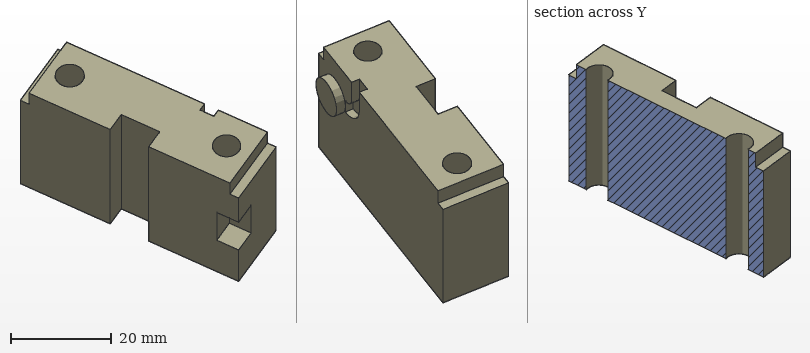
import cadquery as cq
import math

LENGTH = 50.0
DEPTH = 15.0
HEIGHT = 30.0

STEP_LENGTH = 2.0
STEP_HEIGHT = 3.5

CHANNEL_WIDTH = 8.8
CHANNEL_DEPTH = CHANNEL_WIDTH / 2
CHANNEL_START_X = 20.6

POCKET_LENGTH = 5.0
POCKET_DEPTH = 5.0
POCKET_HEIGHT = 8.8
POCKET_BOTTOM_Z = 10.0

HOLE_Y = 7.9
LEFT_HOLE_X = 6.8
LEFT_HOLE_DIAMETER = 5.78
RIGHT_HOLE_X = 42.7
RIGHT_HOLE_DIAMETER = 5.6

BOSS_DIAMETER = 8.32
BOSS_HEIGHT = 2.0
BOSS_X = 43.4
BOSS_Z = 20.95

GROOVE_WIDTH = 3.15
GROOVE_DEPTH = 1.8
GROOVE_LEFT_X = 33.59
BEND_INNER_RADIUS = 2.5
BEND_OUTER_RADIUS = BEND_INNER_RADIUS + GROOVE_WIDTH
BEND_CENTER_X = GROOVE_LEFT_X + BEND_OUTER_RADIUS
BEND_CENTER_Z = BOSS_Z + BEND_INNER_RADIUS + GROOVE_WIDTH / 2


def corner_box(x, y, z, length, depth, height):
    """Box with its lowest corner at (x, y, z)."""
    return cq.Workplane("XY").box(length, depth, height, centered=False).translate((x, y, z))


def z_hole(x, y, diameter):
    """Cutter for a round hole through the full height."""
    return cq.Workplane("XY").center(x, y).circle(diameter / 2).extrude(HEIGHT)


def end_step(x):
    """Cutter for one step along a top end edge."""
    return corner_box(x, 0, HEIGHT - STEP_HEIGHT, STEP_LENGTH, DEPTH, STEP_HEIGHT)


def back_boss():
    """Round boss standing on the back face along +Y."""
    back_face = cq.Workplane("XZ", origin=(BOSS_X, DEPTH, BOSS_Z))
    return back_face.circle(BOSS_DIAMETER / 2).extrude(-BOSS_HEIGHT)


def back_groove():
    """Cutter for the bent groove, drawn on the back face and extruded toward -Y into the block."""
    inner_x = BEND_CENTER_X - BEND_INNER_RADIUS
    inner_z = BEND_CENTER_Z - BEND_INNER_RADIUS
    outer_z = BEND_CENTER_Z - BEND_OUTER_RADIUS
    diagonal = math.sqrt(0.5)
    outer_middle = (
        BEND_CENTER_X - BEND_OUTER_RADIUS * diagonal,
        BEND_CENTER_Z - BEND_OUTER_RADIUS * diagonal,
    )
    inner_middle = (
        BEND_CENTER_X - BEND_INNER_RADIUS * diagonal,
        BEND_CENTER_Z - BEND_INNER_RADIUS * diagonal,
    )
    return (
        cq.Workplane("XZ", origin=(0, DEPTH, 0))
        .moveTo(GROOVE_LEFT_X, HEIGHT)
        .lineTo(GROOVE_LEFT_X, BEND_CENTER_Z)
        .threePointArc(outer_middle, (BEND_CENTER_X, outer_z))
        .lineTo(BEND_CENTER_X, inner_z)
        .threePointArc(inner_middle, (inner_x, BEND_CENTER_Z))
        .lineTo(inner_x, HEIGHT)
        .close()
        .extrude(GROOVE_DEPTH)
    )


body = corner_box(0, 0, 0, LENGTH, DEPTH, HEIGHT)

for step_x in (0, LENGTH - STEP_LENGTH):
    body = body.cut(end_step(step_x))

body = body.cut(corner_box(CHANNEL_START_X, 0, 0, CHANNEL_WIDTH, CHANNEL_DEPTH, HEIGHT))

pocket = corner_box(
    LENGTH - POCKET_LENGTH, 0, POCKET_BOTTOM_Z, POCKET_LENGTH, POCKET_DEPTH, POCKET_HEIGHT
)
body = body.cut(pocket)

body = body.cut(z_hole(LEFT_HOLE_X, HOLE_Y, LEFT_HOLE_DIAMETER))
body = body.cut(z_hole(RIGHT_HOLE_X, HOLE_Y, RIGHT_HOLE_DIAMETER))

body = body.cut(back_groove())

result = body.union(back_boss())